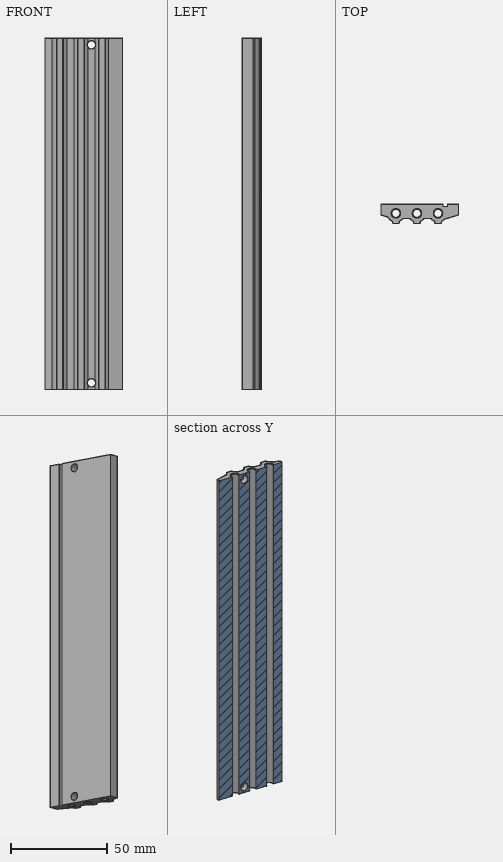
import cadquery as cq
import math

WIDTH = 40.3
DEPTH = 10.0
LENGTH = 182.5

BORE_DIAMETER = 4.2
BORE_CHAMFER = 0.4
BORE_PITCH = 11.0
MIDDLE_BORE_X = -1.5
BORE_FROM_BACK = 4.7
WALL_RADIUS = 4.5
RIB_HALF_WIDTH = 1.8
RIB_CHAMFER = 0.4

FLANGE_THICKNESS = 5.7
LEFT_FLANK_DROP = 1.1
RIGHT_FLANK_DROP = 2.2

VALLEY_WIDTH = 3.6

SLOT_WIDTH = 2.2
SLOT_DEPTH = 1.1
SLOT_FROM_RIGHT = 7.0

MOUNT_DIAMETER = 4.2
MOUNT_FROM_END = 3.5

left = -WIDTH / 2
right = WIDTH / 2
back = DEPTH / 2
front = -DEPTH / 2
bore_y = back - BORE_FROM_BACK
bore_xs = [MIDDLE_BORE_X + i * BORE_PITCH for i in (-1, 0, 1)]


def wall_point(bore_x, offset):
    """Point on the front of the round wall, at a sideways offset from its bore."""
    return (bore_x + offset, bore_y - math.sqrt(WALL_RADIUS**2 - offset**2))


def wall_arc(outline, bore_x, start, end):
    """Continue the outline along the round wall between two sideways offsets."""
    middle = wall_point(bore_x, (start + end) / 2)
    return outline.threePointArc(middle, wall_point(bore_x, end))


def make_body():
    flange_front = back - FLANGE_THICKNESS
    left_y = flange_front - LEFT_FLANK_DROP
    right_y = flange_front - RIGHT_FLANK_DROP
    valley_offset = (BORE_PITCH - VALLEY_WIDTH) / 2
    tip_half_width = RIB_HALF_WIDTH - RIB_CHAMFER
    left_offset = math.sqrt(WALL_RADIUS**2 - (left_y - bore_y) ** 2)
    right_offset = math.sqrt(WALL_RADIUS**2 - (right_y - bore_y) ** 2)
    starts = [left_offset, valley_offset, valley_offset]
    ends = [valley_offset, valley_offset, right_offset]

    outline = cq.Workplane("XY").moveTo(left, back).lineTo(left, flange_front)
    for bore_x, start, end in zip(bore_xs, starts, ends):
        outline = outline.lineTo(*wall_point(bore_x, -start))
        outline = wall_arc(outline, bore_x, -start, -RIB_HALF_WIDTH)
        outline = outline.lineTo(bore_x - RIB_HALF_WIDTH, front + RIB_CHAMFER)
        outline = outline.lineTo(bore_x - tip_half_width, front)
        outline = outline.lineTo(bore_x + tip_half_width, front)
        outline = outline.lineTo(bore_x + RIB_HALF_WIDTH, front + RIB_CHAMFER)
        outline = outline.lineTo(*wall_point(bore_x, RIB_HALF_WIDTH))
        outline = wall_arc(outline, bore_x, RIB_HALF_WIDTH, end)
    outline = outline.lineTo(right, flange_front).lineTo(right, back).close()
    return outline.extrude(LENGTH / 2, both=True)


def make_bores():
    top = LENGTH / 2
    radius = BORE_DIAMETER / 2
    mouth_radius = radius + BORE_CHAMFER
    half_section = [
        (0, top),
        (mouth_radius, top),
        (radius, top - BORE_CHAMFER),
        (radius, BORE_CHAMFER - top),
        (mouth_radius, -top),
        (0, -top),
    ]
    bore = cq.Workplane("XZ").polyline(half_section).close().revolve(360, (0, 0), (0, 1)).val()
    centres = [(x, bore_y) for x in bore_xs]
    return cq.Workplane("XY").pushPoints(centres).eachpoint(bore, combine=True)


def make_slot():
    slot = cq.Workplane("XY").box(SLOT_WIDTH, 2 * SLOT_DEPTH, LENGTH)
    return slot.translate((right - SLOT_FROM_RIGHT, back, 0))


def make_mounting_holes():
    x = (bore_xs[1] + bore_xs[2]) / 2
    z = LENGTH / 2 - MOUNT_FROM_END
    holes = cq.Workplane("XZ").pushPoints([(x, z), (x, -z)]).circle(MOUNT_DIAMETER / 2)
    return holes.extrude(DEPTH, both=True)


result = make_body().cut(make_bores()).cut(make_slot()).cut(make_mounting_holes())